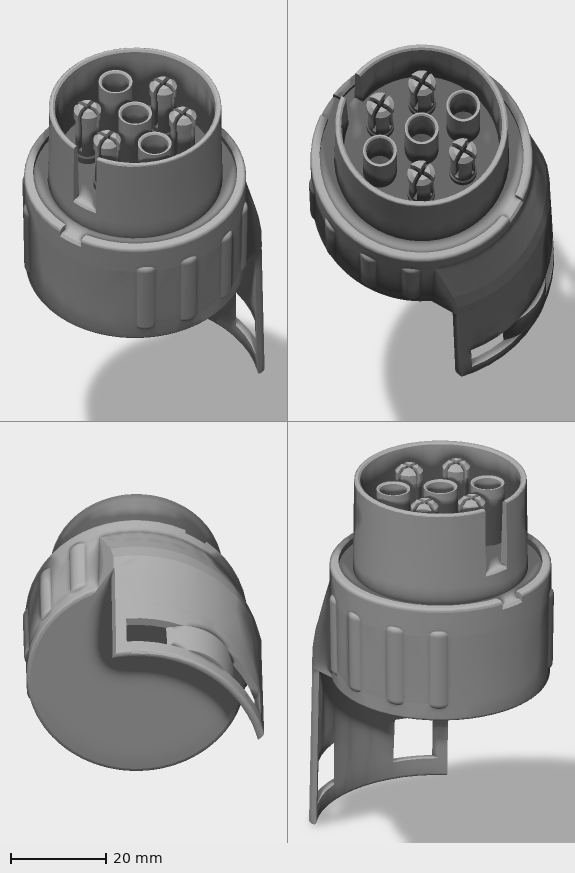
import cadquery as cq
import math

COLLAR_BOTTOM = 36.6
COLLAR_TOP = 63.05
COLLAR_PARTING = 56.6
COLLAR_RADIUS = 23.35
COLLAR_FOOT_RADIUS = 23.0
COLLAR_ROUND = 0.8
LEDGE_HEIGHT = 61.65
LEDGE_RADIUS = 21.45
NOTCH_WIDTH = 5.4
NOTCH_CHAMFER = 0.6

RIB_RADIUS = 2.8
RIB_CREST = 24.1
RIB_BOTTOM = 39.5
RIB_TOP = 58.1
RIB_END_ROUND = 1.3
RIB_ANGLES = (25.0, 1.7, -25.0, -48.5)

SHROUD_TOP = 82.5
SHROUD_FOOT_RADIUS = 18.4
SHROUD_TOP_RADIUS = 18.15
SHROUD_BORE_RADIUS = 16.9
SHROUD_FLOOR_RADIUS = 16.3
SHROUD_FLOOR = 67.4
SHROUD_ROUND = 0.4
KEYWAY_WIDTH = 5.9
KEYWAY_CHAMFER = 0.4

CONTACT_CIRCLE = 10.1
PIN_ANGLES = (30, 90, 210, 270)
PIN_TOP = 81.5
PIN_HEAD_BOTTOM = 78.6
PIN_HEAD_RADIUS = 2.9
PIN_HEAD_CHAMFER = 1.0
PIN_RADIUS = 2.55
PIN_BASE_TOP = 69.3
PIN_BASE_RADIUS = 2.9
PIN_BASE_CHAMFER = 0.4
PIN_SLIT_WIDTH = 0.9
PIN_SLIT_BOTTOM = 70.5
SLEEVE_TOP = 80.45
TALL_SLEEVE_TOP = 80.9
TALL_SLEEVE_ANGLE = 150
SEATED_SLEEVE_ANGLE = 330
SLEEVE_RADIUS = 3.55
SLEEVE_BORE_RADIUS = 2.9
SLEEVE_MOUTH_CHAMFER = 0.3
SLEEVE_CONE_ANGLE = 118.0
SLEEVE_SEAT_RADIUS = 1.3

BRACKET_WIDTH = 37.05
BLADE_SIDE_SLOPE = 0.19
BRACKET_TOP = 57.7
BRACKET_ROUND = 0.7
BEND_TOP = 46.3
BEND_BOTTOM = 41.35
BEND_TOP_RADIUS = 26.3
BEND_BOTTOM_RADIUS = 27.1
BLADE_OUTER_RADIUS = 27.9
BLADE_INNER_RADIUS = 26.25
BLADE_INNER_TOP_RADIUS = 25.6
WINDOW_BOTTOM = 4.2
WINDOW_TOP = 14.1
WINDOW_OUTER_X = 16.75
TAB_RADIUS = 11.0
TAB_CREST = 28.55


def cylinder(radius, bottom, top, x=0.0, y=0.0):
    return cq.Workplane("XY", origin=(x, y, bottom)).circle(radius).extrude(top - bottom)


def block(width_x, y_min, y_max, bottom, top):
    """Box centred on X = 0."""
    base = cq.Workplane("XY", origin=(0, (y_min + y_max) / 2, bottom))
    return base.rect(width_x, y_max - y_min).extrude(top - bottom)


def turned(points):
    """Solid of revolution about Z from (radius, height) points."""
    return cq.Workplane("XZ").polyline(points).close().revolve(360, (0, 0, 0), (0, 1, 0))


def on_circle(radius, angle):
    return radius * math.cos(math.radians(angle)), radius * math.sin(math.radians(angle))


def drum(top):
    """Solid collar body, drafted below its parting line."""
    return turned([
        (0, COLLAR_BOTTOM),
        (COLLAR_FOOT_RADIUS, COLLAR_BOTTOM),
        (COLLAR_RADIUS, COLLAR_PARTING),
        (COLLAR_RADIUS, top),
        (0, top),
    ]).faces("<Z").edges().fillet(COLLAR_ROUND)


def make_collar():
    rim = drum(COLLAR_TOP).faces(">Z").edges().fillet(COLLAR_ROUND)
    rim = rim.cut(cylinder(LEDGE_RADIUS, LEDGE_HEIGHT, COLLAR_TOP))
    notch_bottom = LEDGE_HEIGHT - NOTCH_CHAMFER
    rim = rim.cut(block(NOTCH_WIDTH, -COLLAR_RADIUS, COLLAR_RADIUS, notch_bottom, COLLAR_TOP))
    core = drum(LEDGE_HEIGHT).faces(">Z").edges().chamfer(NOTCH_CHAMFER)
    return rim.union(core)


def make_ribs():
    lean = math.degrees(math.atan2(COLLAR_RADIUS - COLLAR_FOOT_RADIUS, COLLAR_PARTING - COLLAR_BOTTOM))
    rib = cylinder(RIB_RADIUS, RIB_BOTTOM, RIB_TOP, x=RIB_CREST - RIB_RADIUS)
    rib = rib.faces("<Z or >Z").edges().fillet(RIB_END_ROUND)
    rib = rib.rotate((RIB_CREST, 0, RIB_TOP), (RIB_CREST, 1, RIB_TOP), lean)
    ribs = cq.Workplane("XY")
    for angle in RIB_ANGLES:
        turned_rib = rib.rotate((0, 0, 0), (0, 0, 1), angle)
        ribs = ribs.add(turned_rib).add(turned_rib.mirror("YZ"))
    return ribs.combine()


def make_shroud():
    shroud = turned([
        (0, LEDGE_HEIGHT),
        (SHROUD_FOOT_RADIUS, LEDGE_HEIGHT),
        (SHROUD_TOP_RADIUS, SHROUD_TOP),
        (0, SHROUD_TOP),
    ])
    shroud = shroud.faces(">Z").edges().fillet(SHROUD_ROUND)
    shroud = shroud.cut(turned([
        (0, SHROUD_FLOOR),
        (SHROUD_FLOOR_RADIUS, SHROUD_FLOOR),
        (SHROUD_BORE_RADIUS, SHROUD_TOP - SHROUD_ROUND),
        (SHROUD_BORE_RADIUS + SHROUD_ROUND, SHROUD_TOP),
        (0, SHROUD_TOP),
    ]))
    shroud = shroud.cut(block(KEYWAY_WIDTH, -SHROUD_FOOT_RADIUS, 0, SHROUD_FLOOR, SHROUD_TOP))
    keyway_sill = cq.selectors.NearestToPointSelector((0, -SHROUD_FOOT_RADIUS, SHROUD_FLOOR))
    return shroud.edges(keyway_sill).chamfer(KEYWAY_CHAMFER)


def make_pin(x, y):
    """Contact pin with a wider chamfered head and foot, split crosswise from the top."""
    head = cylinder(PIN_HEAD_RADIUS, PIN_HEAD_BOTTOM, PIN_TOP, x, y)
    head = head.faces(">Z").edges().chamfer(PIN_HEAD_CHAMFER)
    pin = cylinder(PIN_RADIUS, SHROUD_FLOOR, PIN_HEAD_BOTTOM, x, y).union(head)
    base = cylinder(PIN_BASE_RADIUS, SHROUD_FLOOR, PIN_BASE_TOP, x, y)
    pin = pin.union(base.faces(">Z").edges().chamfer(PIN_BASE_CHAMFER))
    slit = cq.Workplane("XY", origin=(x, y, PIN_SLIT_BOTTOM)).rect(PIN_SLIT_WIDTH, 2 * PIN_HEAD_RADIUS)
    slit = slit.extrude(PIN_TOP - PIN_SLIT_BOTTOM)
    return pin.cut(slit).cut(slit.rotate((x, y, 0), (x, y, 1), 90))


def make_sleeve(x, y, top, seat_radius):
    """Socket sleeve whose bore ends in a cone, pointed or cut off by a flat seat."""
    cone_slope = math.tan(math.radians(90 - SLEEVE_CONE_ANGLE / 2))
    mouth_bottom = top - SLEEVE_MOUTH_CHAMFER
    bore_bottom = SHROUD_FLOOR + cone_slope * SLEEVE_BORE_RADIUS
    seat_height = SHROUD_FLOOR + cone_slope * seat_radius
    bore = (
        cq.Workplane("XZ")
        .moveTo(0, top)
        .lineTo(SLEEVE_BORE_RADIUS + SLEEVE_MOUTH_CHAMFER, top)
        .lineTo(SLEEVE_BORE_RADIUS, mouth_bottom)
        .lineTo(SLEEVE_BORE_RADIUS, bore_bottom)
        .lineTo(seat_radius, seat_height)
    )
    if seat_radius > 0:
        bore = bore.lineTo(0, seat_height)
    bore = bore.close().revolve(360, (0, 0, 0), (0, 1, 0))
    return cylinder(SLEEVE_RADIUS, SHROUD_FLOOR, top).cut(bore).translate((x, y, 0))


def make_bracket():
    outer = turned([
        (0, 0),
        (BLADE_OUTER_RADIUS, 0),
        (BEND_BOTTOM_RADIUS, BEND_BOTTOM),
        (BEND_TOP_RADIUS, BEND_TOP),
        (COLLAR_RADIUS, BRACKET_TOP),
        (0, BRACKET_TOP),
    ])
    inner = turned([
        (0, 0),
        (BLADE_INNER_RADIUS, 0),
        (BLADE_INNER_TOP_RADIUS, COLLAR_BOTTOM),
        (0, COLLAR_BOTTOM),
    ])
    outer_edge_y = math.sqrt(BLADE_OUTER_RADIUS**2 - (BRACKET_WIDTH / 2) ** 2)
    back_half_width = BRACKET_WIDTH / 2 - BLADE_SIDE_SLOPE * outer_edge_y
    front_half_width = back_half_width + BLADE_SIDE_SLOPE * TAB_CREST
    width_limit = (
        cq.Workplane("XY")
        .polyline([
            (-back_half_width, 0),
            (-front_half_width, TAB_CREST),
            (front_half_width, TAB_CREST),
            (back_half_width, 0),
        ])
        .close()
        .extrude(COLLAR_BOTTOM)
        .union(block(BRACKET_WIDTH, 0, TAB_CREST, COLLAR_BOTTOM, BRACKET_TOP))
    )
    blade = outer.cut(inner).intersect(width_limit)
    blade = blade.faces("<Z").edges("%CIRCLE").fillet(BRACKET_ROUND)
    blade = blade.cut(block(2 * WINDOW_OUTER_X, 0, TAB_CREST, WINDOW_BOTTOM, WINDOW_TOP))
    tab = cylinder(TAB_RADIUS, WINDOW_BOTTOM, WINDOW_TOP, y=TAB_CREST - TAB_RADIUS).cut(inner)
    return blade.union(tab)


result = make_collar().union(make_ribs()).union(make_bracket()).union(make_shroud())
for pin_angle in PIN_ANGLES:
    result = result.union(make_pin(*on_circle(CONTACT_CIRCLE, pin_angle)))
tall_sleeve_x, tall_sleeve_y = on_circle(CONTACT_CIRCLE, TALL_SLEEVE_ANGLE)
result = result.union(make_sleeve(tall_sleeve_x, tall_sleeve_y, TALL_SLEEVE_TOP, 0))
seated_sleeve_x, seated_sleeve_y = on_circle(CONTACT_CIRCLE, SEATED_SLEEVE_ANGLE)
result = result.union(make_sleeve(seated_sleeve_x, seated_sleeve_y, SLEEVE_TOP, SLEEVE_SEAT_RADIUS))
result = result.union(make_sleeve(0, 0, SLEEVE_TOP, SLEEVE_SEAT_RADIUS))